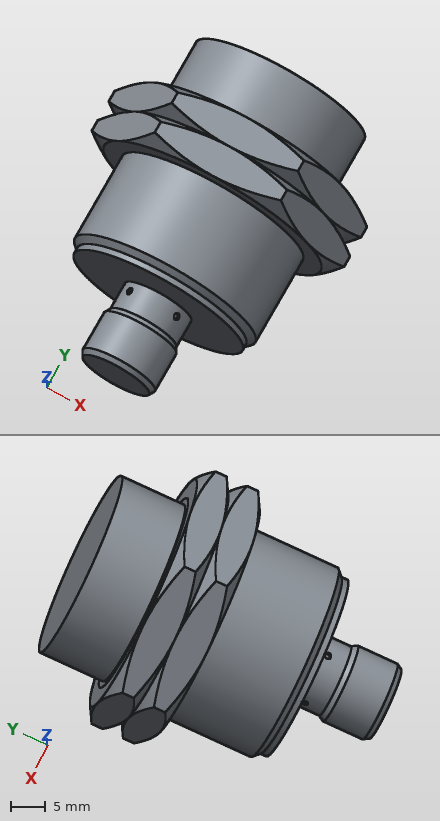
import cadquery as cq
import math


rear_diameter = 28.0
rear_length = 10.0
thread_diameter = 30.0
thread_chamfer = 1.0
front_rim_length = 1.0
barrel_length = 36.0

neck_diameter = 11.0
neck_length = 4.5
plug_diameter = 12.0
plug_cone_angle = 30.0
connector_length = 12.5

window_count = 4
window_diameter = 1.0
window_dome_diameter = 0.9
window_offset = 1.5
window_first_angle = 45.0

nut_count = 2
nut_sides = 6
nut_across_flats = 36.0
nut_thickness = 5.0
nut_chamfer_angle = 30.0


def make_sensor_profile():
    """Turned half-section as (radius, Y) points, closed along the axis."""
    rear_radius = rear_diameter / 2
    thread_radius = thread_diameter / 2
    rim_radius = thread_radius - thread_chamfer
    neck_radius = neck_diameter / 2
    plug_radius = plug_diameter / 2
    rim_start = barrel_length - front_rim_length
    tip = barrel_length + connector_length
    cone_start = barrel_length + neck_length
    cone_length = (plug_radius - neck_radius) / math.tan(math.radians(plug_cone_angle))
    return [
        (0, 0),
        (rear_radius, 0),
        (rear_radius, -rear_length),
        (thread_radius, -rear_length),
        (thread_radius, -(rim_start - thread_chamfer)),
        (rim_radius, -rim_start),
        (rim_radius, -barrel_length),
        (neck_radius, -barrel_length),
        (neck_radius, -cone_start),
        (plug_radius, -(cone_start + cone_length)),
        (plug_radius, -(tip - cone_length)),
        (neck_radius, -tip),
        (0, -tip),
    ]


def make_window_cutter(angle):
    """Radial hole that leaves a half-ball dome on its floor, flush with the neck at its highest point.

    The angle turns the window about the Y axis, starting from +Z.
    """
    neck_radius = neck_diameter / 2
    dome_radius = window_dome_diameter / 2
    floor_centre = (0, -(barrel_length + window_offset), neck_radius - dome_radius)
    hole = (
        cq.Workplane("XY", origin=floor_centre)
        .circle(window_diameter / 2)
        .extrude(2 * dome_radius)
    )
    dome = cq.Workplane("XY", origin=floor_centre).sphere(dome_radius)
    return hole.cut(dome).rotate((0, 0, 0), (0, 1, 0), angle)


def make_sensor():
    sensor = (
        cq.Workplane("XY")
        .polyline(make_sensor_profile())
        .close()
        .revolve(360, (0, 0, 0), (0, 1, 0))
    )
    for index in range(window_count):
        angle = window_first_angle + index * 360 / window_count
        sensor = sensor.cut(make_window_cutter(angle))
    return sensor


def make_nut(rear_y):
    """Hexagon nut with corners on the X axis and both faces chamfered down to the across-flats circle."""
    across_corners = nut_across_flats / math.cos(math.pi / nut_sides)
    corner_radius = across_corners / 2
    face_radius = nut_across_flats / 2
    chamfer_depth = (corner_radius - face_radius) * math.tan(math.radians(nut_chamfer_angle))
    hexagon = (
        cq.Workplane("XZ", origin=(0, rear_y, 0))
        .polygon(nut_sides, across_corners)
        .circle(thread_diameter / 2)
        .extrude(nut_thickness)
    )
    chamfer_envelope = (
        cq.Workplane("XY")
        .polyline([
            (0, rear_y),
            (face_radius, rear_y),
            (corner_radius, rear_y - chamfer_depth),
            (corner_radius, rear_y - nut_thickness + chamfer_depth),
            (face_radius, rear_y - nut_thickness),
            (0, rear_y - nut_thickness),
        ])
        .close()
        .revolve(360, (0, 0, 0), (0, 1, 0))
    )
    return hexagon.intersect(chamfer_envelope)


sensor = make_sensor()
nuts = [make_nut(-(rear_length + index * nut_thickness)) for index in range(nut_count)]

bodies = [sensor, *nuts]

result = cq.Compound.makeCompound([body.solids().val() for body in bodies])